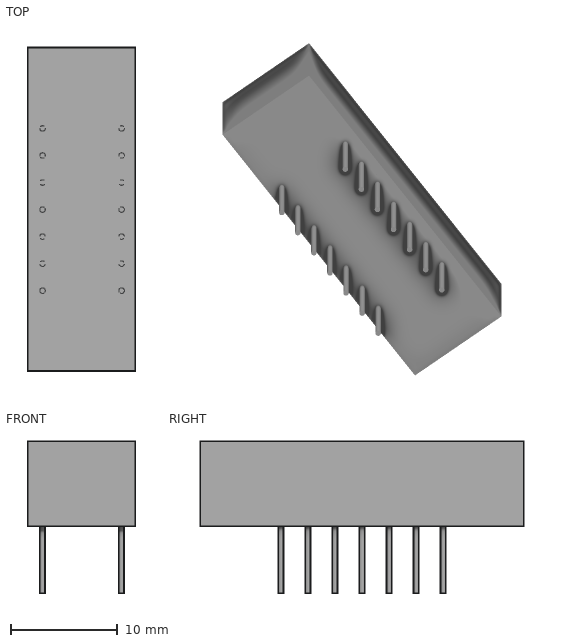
import cadquery as cq

body_width = 10.1
body_length = 30.4
total_height = 14.3
pin_length = 6.3
body_height = total_height - pin_length

pin_diameter = 0.52
pins_per_row = 7
row_length = 15.23
pin_pitch = row_length / (pins_per_row - 1)
row_count = 2
row_spacing = 7.42
row_offset = 0.03


def make_body():
    """Plain block standing on the XY plane."""
    return cq.Workplane("XY").box(body_width, body_length, body_height, centered=(True, True, False))


def make_pins():
    """Pins hanging down from the underside of the body."""
    return (
        cq.Workplane("XY")
        .center(row_offset, 0)
        .rarray(row_spacing, pin_pitch, row_count, pins_per_row)
        .circle(pin_diameter / 2)
        .extrude(-pin_length)
    )


result = make_body().union(make_pins())